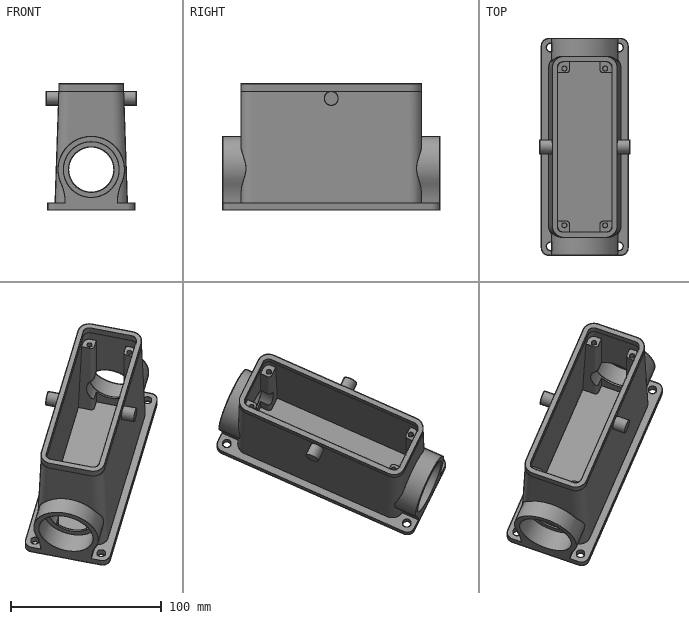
import cadquery as cq
import math

total_height = 84.0
overall_length = 144.0

flange_width = 57.7
flange_height = 4.9
flange_corner_radius = 5.2
screw_hole_diameter = 5.6
screw_hole_x = 22.6
screw_hole_y = 66.0

hood_length = 120.1
hood_top_width = 43.0
hood_foot_width = 48.1
hood_corner_radius = 7.6
wall_thickness = 3.5
rim_height = 5.2
floor_height = flange_height

post_top = 71.5
post_inner_x = 10.1
post_inner_y = 49.2
post_edge_radius = 2.2
post_hole_x = 13.5
post_hole_y = 52.0
post_hole_diameter = 3.3
post_hole_depth = 14.4

peg_span = 60.0
peg_diameter = 9.2

collar_radius = 22.0
collar_axis_height = 27.0
collar_foot_half_width = 17.3
entry_diameter = 37.0
entry_depth = 14.1
bore_diameter = 30.0

rim_base = total_height - rim_height
taper_per_height = (hood_foot_width - hood_top_width) / (rim_base - flange_height)
cavity_length = hood_length - 2 * wall_thickness
cavity_corner_radius = hood_corner_radius - wall_thickness
half_length = overall_length / 2
peg_axis_height = rim_base - peg_diameter / 2


def hood_width(height):
    """Outer width of the tapered hood at a height."""
    return hood_top_width + taper_per_height * (rim_base - height)


def rounded_prism(width, length, radius, bottom, height):
    """Upright block with rounded vertical edges, centred on the Z axis."""
    block = cq.Workplane("XY", origin=(0, 0, bottom)).rect(width, length).extrude(height)
    return block.edges("|Z").fillet(radius)


def tapered_block(foot_width, top_width, length, radius, bottom, top):
    """Rounded block whose long sides lean inward while its ends stay upright."""
    half_foot = foot_width / 2
    half_top = top_width / 2
    return (
        cq.Workplane("XZ", origin=(0, length / 2, 0))
        .polyline([(-half_foot, bottom), (half_foot, bottom), (half_top, top), (-half_top, top)])
        .close()
        .extrude(length)
        .edges("not(|X or |Y)")
        .fillet(radius)
    )


def corner_points(x, y):
    return [(x, y), (-x, y), (-x, -y), (x, -y)]


def make_flange():
    flange = rounded_prism(flange_width, overall_length, flange_corner_radius, 0, flange_height)
    holes = (
        cq.Workplane("XY")
        .pushPoints(corner_points(screw_hole_x, screw_hole_y))
        .circle(screw_hole_diameter / 2)
        .extrude(flange_height)
    )
    return flange.cut(holes)


def make_collars():
    """Round collars over the full length, with feet flaring concavely up into the circle."""
    rise = collar_axis_height - flange_height
    foot = collar_foot_half_width
    flare = (foot**2 + rise**2 - collar_radius**2) / (2 * (collar_radius - foot))
    centre_x = foot + flare
    share = collar_radius / (collar_radius + flare)
    join_x = share * centre_x
    join_z = collar_axis_height - share * rise
    half_angle = math.atan2(join_z - flange_height, centre_x - join_x) / 2
    mid_x = centre_x - flare * math.cos(half_angle)
    mid_z = flange_height + flare * math.sin(half_angle)
    return (
        cq.Workplane("XZ", origin=(0, half_length, 0))
        .moveTo(-foot, 0)
        .lineTo(foot, 0)
        .lineTo(foot, flange_height)
        .threePointArc((mid_x, mid_z), (join_x, join_z))
        .threePointArc((0, collar_axis_height + collar_radius), (-join_x, join_z))
        .threePointArc((-mid_x, mid_z), (-foot, flange_height))
        .close()
        .extrude(overall_length)
    )


def make_pegs():
    return (
        cq.Workplane("YZ", origin=(-peg_span / 2, 0, 0))
        .center(0, peg_axis_height)
        .circle(peg_diameter / 2)
        .extrude(peg_span)
    )


def make_cavity():
    return tapered_block(
        hood_width(floor_height) - 2 * wall_thickness,
        hood_top_width - 2 * wall_thickness,
        cavity_length,
        cavity_corner_radius,
        floor_height,
        rim_base,
    )


def along_y(diameter, length):
    """Cylinder on the collar axis, centred lengthwise."""
    return (
        cq.Workplane("XZ", origin=(0, length / 2, 0))
        .center(0, collar_axis_height)
        .circle(diameter / 2)
        .extrude(length)
    )


def make_entries():
    """Through bore, widened from each end of the collars."""
    shoulder_span = overall_length - 2 * entry_depth
    widened = along_y(entry_diameter, overall_length).cut(along_y(entry_diameter, shoulder_span))
    return along_y(bore_diameter, overall_length).union(widened)


def make_posts(cavity):
    """Corner posts that fill the cavity corners up to the post top."""
    post_size = hood_foot_width / 2 - post_inner_x
    post_length = hood_length / 2 - post_inner_y
    height = post_top - floor_height
    centres = corner_points(post_inner_x + post_size / 2, post_inner_y + post_length / 2)
    posts = (
        cq.Workplane("XY", origin=(0, 0, floor_height))
        .pushPoints(centres)
        .rect(post_size, post_length)
        .extrude(height)
        .edges("|Z")
        .fillet(post_edge_radius)
    )
    holes = (
        cq.Workplane("XY", origin=(0, 0, post_top - post_hole_depth))
        .pushPoints(corner_points(post_hole_x, post_hole_y))
        .circle(post_hole_diameter / 2)
        .extrude(post_hole_depth)
    )
    return posts.intersect(cavity).cut(holes)


def make_housing():
    hood = tapered_block(
        hood_foot_width, hood_top_width, hood_length, hood_corner_radius, flange_height, rim_base
    )
    cavity = make_cavity()
    shell = make_flange().union(hood).union(make_collars()).union(make_pegs())
    return shell.cut(cavity).union(make_posts(cavity)).cut(make_entries())


def make_rim():
    """Upright ring that closes the top of the hood walls."""
    outside = rounded_prism(hood_top_width, hood_length, hood_corner_radius, rim_base, rim_height)
    inside = rounded_prism(
        hood_top_width - 2 * wall_thickness, cavity_length, cavity_corner_radius, rim_base, rim_height
    )
    return outside.cut(inside)


housing = make_housing()
rim = make_rim()
result = cq.Compound.makeCompound([housing.val(), rim.val()])